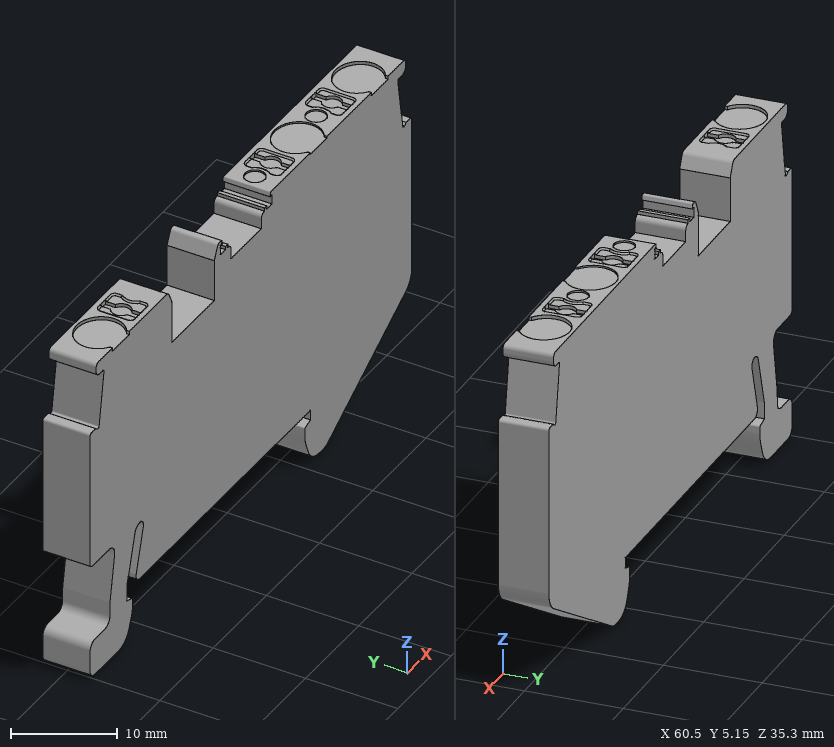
import cadquery as cq
import math

length = 60.5
thickness = 5.15
height = 35.3
mid_y = thickness / 2

body_floor = 5.85
wing_floor = 12.65
shoulder = 27.95
shoulder_dip = 27.7
lip_underside = 33.75

lip_tip = 1.15
lip_top_radius = 0.5
lip_bottom_radius = 0.65
neck_top = 2.65
neck_bottom = 1.7
neck_radius = 0.2
dip_width = 0.6

bridge_left = 15.4
bridge_right = 23.35
bridge_floor = 29.2
bridge_flare = 0.7
bridge_lip_radius = 0.6

marker_axis = 29.35
marker_floor = 32.1
marker_half = 2.85
marker_radius = 0.55
rib_height = 0.35
rib_inner = 3.45
rib_outer = 3.9
undercut_half = 4.85
barb_half = 4.5
barb_bottom = 34.8
tab_top_half = 4.6
tab_radius = 0.4
barb_radius = 0.1

rail_axis = 24.2
rail_half = 17.25
hook_half = 16.15
hook_roof = 4.8
hook_shoulder = 4.5
hook_tip_radius = 0.2
hook_bend = 3.0
hook_base_half = 17.35
hook_bend_radius = 3.6
hook_base_radius = 2.2

foot_top = 4.05
stem_left_top = 4.85
stem_left = 3.75
stem_bend = 6.5
slot_top = 12.3
slot_lean = 0.29
slot_mouth_radius = 0.7
slot_width = 1.65
slot_left_radius = 0.9
slot_right_radius = 0.65

flank_top = 9.3
flank_angle = math.radians(30)
flank_radius = 2.4
flank_toe_radius = 1.5

wing_radius = 0.5
shoulder_radius = 0.3
foot_radius = 0.95
stem_radius = 1.0

entry_length = 5.4
entry_width = 4.95
entry_y = 2.3
opening_width = 3.15
pitch = 11.5
left_entry_x = 5.8
middle_entry_x = 42.95
right_entry_x = middle_entry_x + pitch
deep_entry = 0.35
shallow_entry = 0.2

pocket_length = 3.25
pocket_width = 4.0
pocket_corner = 0.5
pocket_depth = 0.2
pocket_draft = 40.0
bite_radius = 1.45
bite_offset = 1.1
slotted_hole_shift = 0.25
slotted_hole_diameter = 2.0
driver_slot_width = 0.9
slotted_hole_depth = 0.55
left_pocket_x = 10.6
middle_pocket_x = 38.2
right_pocket_x = middle_pocket_x + pitch

pin_diameter = 2.1
pin_depth = 0.2


def mirrored(corners, axis):
    """Mirror (x, z, radius) corners about a vertical axis, keeping the walking direction."""
    return [(2 * axis - x, z, r) for x, z, r in reversed(corners)]


def rounded_outline(corners):
    """Closed XZ wire through (x, z, radius) corners; each radius is a tangent arc."""
    path = None
    count = len(corners)
    for i, (x, z, radius) in enumerate(corners):
        corner = cq.Vector(x, z)
        before = cq.Vector(*corners[i - 1][:2])
        after = cq.Vector(*corners[(i + 1) % count][:2])
        to_before = (before - corner).normalized()
        to_after = (after - corner).normalized()
        half_angle = to_before.getAngle(to_after) / 2
        setback = radius / math.tan(half_angle)
        start = corner + to_before * setback
        if path is None:
            path = cq.Workplane("XZ").moveTo(start.x, start.y)
        else:
            path = path.lineTo(start.x, start.y)
        if radius > 0:
            end = corner + to_after * setback
            bisector = (to_before + to_after).normalized()
            middle = corner + bisector * (radius / math.sin(half_angle) - radius)
            path = path.threePointArc((middle.x, middle.y), (end.x, end.y))
    return path.close()


def left_end():
    """Left side from the wing corner up to the top of the lip."""
    return [
        (0, wing_floor, wing_radius),
        (0, shoulder, shoulder_radius),
        (neck_bottom - dip_width, shoulder, 0),
        (neck_bottom - dip_width / 2, shoulder_dip, 0),
        (neck_bottom, shoulder_dip, neck_radius),
        (neck_top, lip_underside, neck_radius),
        (lip_tip, lip_underside, lip_bottom_radius),
        (lip_tip, height, lip_top_radius),
    ]


def bridge_slot():
    """Flared slot in the top, from its left lip to the tab on its right."""
    return [
        (bridge_left - bridge_flare, height, bridge_lip_radius),
        (bridge_left, lip_underside, 0),
        (bridge_left, bridge_floor, 0),
        (bridge_right, bridge_floor, 0),
        (bridge_right, lip_underside, 0),
        (bridge_right + bridge_flare, height, tab_radius),
    ]


def marker_groove():
    """Groove with a barb, an undercut and a small rib on each side."""
    left = [
        (marker_axis - tab_top_half, height, barb_radius),
        (marker_axis - barb_half, barb_bottom, 0),
        (marker_axis - undercut_half, barb_bottom, 0),
        (marker_axis - undercut_half, lip_underside, 0),
        (marker_axis - rib_outer, lip_underside, 0),
        (marker_axis - rib_outer, lip_underside + rib_height, 0),
        (marker_axis - rib_inner, lip_underside + rib_height, 0),
        (marker_axis - rib_inner, lip_underside, 0),
        (marker_axis - marker_half, lip_underside, marker_radius),
        (marker_axis - marker_half, marker_floor, 0),
    ]
    return left + mirrored(left, marker_axis)


def right_end():
    """Right side from the lip down to the toe of the slanted flank."""
    toe_x = length - flank_top / math.tan(flank_angle)
    lip_and_shoulder = mirrored(left_end()[1:], length / 2)
    return lip_and_shoulder + [
        (length, flank_top, flank_radius),
        (toe_x, 0, flank_toe_radius),
    ]


def right_hook():
    """Right rail hook from its rounded base up to the hook roof."""
    return [
        (rail_axis + hook_base_half, 0, hook_base_radius),
        (rail_axis + hook_half, hook_bend, hook_bend_radius),
        (rail_axis + hook_half, hook_shoulder, hook_tip_radius),
        (rail_axis + rail_half, hook_roof, 0),
    ]


def spring_slot():
    """Slanted slot from the body floor up to its round end and down to the stem bend."""
    left_x = rail_axis - rail_half
    left_top = left_x + (slot_top - stem_bend) * slot_lean
    right_top = left_top + slot_width
    right_floor = right_top - (slot_top - body_floor) * slot_lean
    return [
        (right_floor, body_floor, slot_mouth_radius),
        (right_top, slot_top, slot_right_radius),
        (left_top, slot_top, slot_left_radius),
        (left_x, stem_bend, 0),
    ]


def foot():
    """Foot block and the outer side of the spring stem."""
    return [
        (0, 0, foot_radius),
        (0, foot_top, foot_radius),
        (stem_left, foot_top, foot_radius),
        (stem_left, stem_bend, 0),
        (stem_left_top, wing_floor, stem_radius),
    ]


def make_body():
    """Extrude the whole side profile through the thickness."""
    corners = left_end() + bridge_slot() + marker_groove() + right_end() + right_hook()
    corners += [(rail_axis + rail_half, body_floor, 0)]
    corners += spring_slot() + mirrored(right_hook(), rail_axis) + foot()
    return rounded_outline(corners).extrude(-thickness)


def wire_entry(x, depth):
    """Oval recess centred at x with a straight opening to the front face."""
    top = cq.Workplane("XY", origin=(x, entry_y, height))
    oval = top.ellipse(entry_length / 2, entry_width / 2).extrude(-depth)
    opening = top.center(0, -entry_y / 2).rect(opening_width, entry_y).extrude(-depth)
    return oval.union(opening)


def pin_recess(x):
    """Shallow round recess centred at x."""
    return cq.Workplane("XY", origin=(x, mid_y, height)).circle(pin_diameter / 2).extrude(-pin_depth)


def test_point(x, bite_side):
    """Test point centred at x; bite_side is +1 or -1 for the side with the curved notch."""
    top = cq.Workplane("XY", origin=(x, mid_y, height))
    outline = cq.Sketch().rect(pocket_length, pocket_width).vertices().fillet(pocket_corner)
    pocket = top.placeSketch(outline).extrude(-pocket_depth, taper=pocket_draft)
    bite = top.center(bite_side * (pocket_length / 2 + bite_offset), 0).circle(bite_radius)
    pocket = pocket.cut(bite.extrude(-pocket_depth, taper=-pocket_draft))
    hole = top.center(-bite_side * slotted_hole_shift, 0)
    round_hole = hole.circle(slotted_hole_diameter / 2).extrude(-slotted_hole_depth)
    driver_slot = hole.rect(driver_slot_width, pocket_width).extrude(-slotted_hole_depth)
    return pocket.union(round_hole).union(driver_slot)


result = make_body()

for entry_x, depth in (
    (left_entry_x, deep_entry),
    (middle_entry_x, shallow_entry),
    (right_entry_x, deep_entry),
):
    result = result.cut(wire_entry(entry_x, depth))

for pocket_x, bite_side in ((left_pocket_x, 1), (middle_pocket_x, -1), (right_pocket_x, -1)):
    result = result.cut(test_point(pocket_x, bite_side))

for pocket_x in (middle_pocket_x, right_pocket_x):
    pin_x = pocket_x - pocket_length / 2 - bite_offset
    result = result.cut(pin_recess(pin_x))